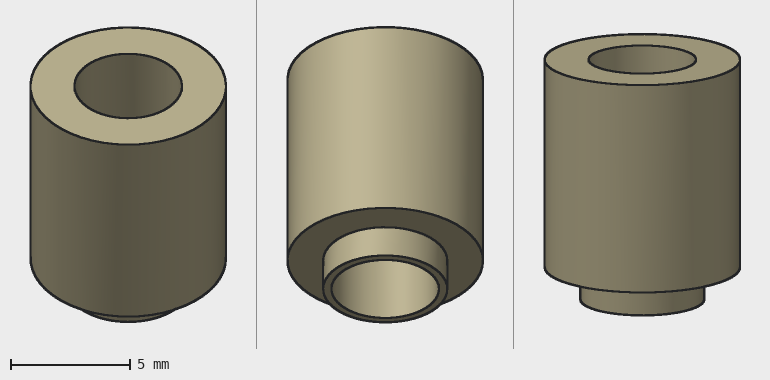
import cadquery as cq

total_height = 10.4
spigot_height = 1.4
body_diameter = 8.2
spigot_diameter = 5.2
bore_diameter = 4.5

body_height = total_height - spigot_height

spigot = cq.Workplane("XY").circle(spigot_diameter / 2).extrude(spigot_height)

sleeve = (
    spigot.faces(">Z")
    .workplane()
    .circle(body_diameter / 2)
    .extrude(body_height)
)

bore = cq.Workplane("XY").circle(bore_diameter / 2).extrude(total_height)

result = sleeve.cut(bore)